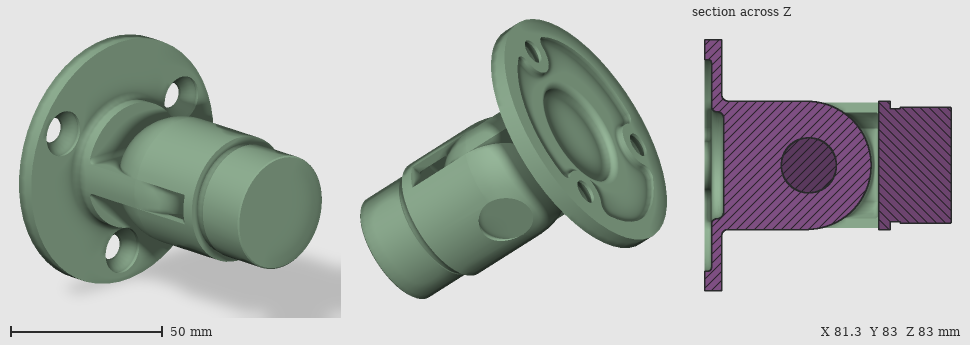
import cadquery as cq
import math


tube_radius = 21.25
tongue_thickness = 10.1
tongue_half = tongue_thickness / 2

flange_radius = 41.5
flange_thickness = 5.8
collar_end = 11.5
collar_fillet = 1.8
tongue_fillet = 1.75
tongue_ball_x = 33.8

screw_circle_radius = 31.0
screw_angles = (30, 150, 270)
screw_hole_radius = 4.2
countersink_start = 1.1
countersink_widening = 3.4
countersink_end = countersink_start + countersink_widening

recess_radius = 34.8
recess_depth = 2.2
recess_boss_radius = 8.0
recess_corner_radius = 3.3
recess_floor_fillet = 1.0

dish_radius = 17.5
dish_round = 2.0
dish_floor = recess_depth + 2 * dish_round

pivot_x = 34.4
pin_radius = 9.0
pin_bottom = -math.sqrt(tube_radius**2 - pin_radius**2)
pin_top = tongue_half

slot_end = 57.3
body_end = 61.25
neck_end = 64.3
neck_radius = 18.7
spigot_radius = 19.2
spigot_end = 81.3
spigot_chamfer = 0.4

cavity_pin_wall = 2.5
cavity_start = pivot_x + pin_radius + cavity_pin_wall
cavity_radius = 18.2
cavity_height = 27.05
cavity_fillet = 1.0


def rod(radius, start, end):
    """Cylinder along X from start to end."""
    return cq.Workplane("YZ", origin=(start, 0, 0)).circle(radius).extrude(end - start)


def slab(start, end, height):
    """Plate along X from start to end, centred in Z and wider than the tube."""
    width = 2 * flange_radius
    plate = cq.Workplane("XY", origin=(start, 0, 0))
    return plate.box(end - start, width, height, centered=(False, True, True))


def ball(centre_x):
    """Sphere of the tube radius centred on the main axis."""
    return cq.Workplane("XY", origin=(centre_x, 0, 0)).sphere(tube_radius)


def turned(profile):
    """Revolve a closed XY profile about the main axis."""
    return profile.revolve(360, (0, 0, 0), (1, 0, 0))


def plate_and_collar():
    """Flange disc and collar, with a fillet where they meet."""
    fillet_end = flange_thickness + collar_fillet
    profile = (
        cq.Workplane("XY")
        .lineTo(0, flange_radius)
        .lineTo(flange_thickness, flange_radius)
        .lineTo(flange_thickness, tube_radius + collar_fillet)
        .radiusArc((fillet_end, tube_radius), -collar_fillet)
        .lineTo(collar_end, tube_radius)
        .lineTo(collar_end, 0)
        .close()
    )
    return turned(profile)


def tongue():
    """Flat tongue with a ball-shaped end and flared root fillets at the collar."""
    root_end = collar_end + tongue_fillet
    fillet_top = tongue_half + tongue_fillet
    stem = rod(tube_radius, collar_end, tongue_ball_x)
    nose = ball(tongue_ball_x).cut(rod(flange_radius, 0, tongue_ball_x))
    blade = stem.union(nose).intersect(slab(collar_end, spigot_end, tongue_thickness))
    flare = (
        cq.Workplane("XZ")
        .moveTo(collar_end, -fillet_top)
        .radiusArc((root_end, -tongue_half), tongue_fillet)
        .lineTo(root_end, tongue_half)
        .radiusArc((collar_end, fillet_top), tongue_fillet)
        .close()
        .extrude(tube_radius, both=True)
    )
    return blade.union(flare.intersect(stem))


def screw_positions():
    """Screw hole centres as (Y, Z) pairs."""
    angles = [math.radians(angle) for angle in screw_angles]
    return [(screw_circle_radius * math.cos(a), screw_circle_radius * math.sin(a)) for a in angles]


def screw_hole():
    """Screw hole on the main axis, with its countersink open to +X."""
    head_radius = screw_hole_radius + countersink_widening
    profile = (
        cq.Workplane("XY")
        .lineTo(0, screw_hole_radius)
        .lineTo(countersink_start, screw_hole_radius)
        .lineTo(countersink_end, head_radius)
        .lineTo(flange_thickness, head_radius)
        .lineTo(flange_thickness, 0)
        .close()
    )
    return turned(profile)


def back_recess():
    """Shallow recess in the flange back that runs around a boss at each screw hole."""
    bosses = cq.Workplane("YZ").pushPoints(screw_positions()).circle(recess_boss_radius).extrude(recess_depth)
    recess = rod(recess_radius, 0, recess_depth).cut(bosses)
    recess = recess.edges("|X").fillet(recess_corner_radius)
    return recess.faces(">X").edges().fillet(recess_floor_fillet)


def back_dish():
    """Round dish in the recess floor, with an S-shaped wall."""
    profile = (
        cq.Workplane("XY")
        .moveTo(recess_depth, 0)
        .lineTo(recess_depth, dish_radius + dish_round)
        .radiusArc((recess_depth + dish_round, dish_radius), -dish_round)
        .radiusArc((dish_floor, dish_radius - dish_round), dish_round)
        .lineTo(dish_floor, 0)
        .close()
    )
    return turned(profile)


def pin_cylinder(bottom):
    """Cylinder on the pivot axis from the given level to the top of the tongue."""
    return cq.Workplane("XY", origin=(pivot_x, 0, bottom)).circle(pin_radius).extrude(pin_top - bottom)


def make_flange():
    flange = plate_and_collar().union(tongue())
    flange = flange.cut(back_recess()).cut(back_dish())
    for y, z in screw_positions():
        flange = flange.cut(screw_hole().translate((0, y, z)))
    return flange.cut(pin_cylinder(-tube_radius))


def body_cavity():
    """Closed cavity beyond the pin, flat above and below, with a rounded end."""
    cavity = rod(cavity_radius, cavity_start, slot_end)
    cavity = cavity.intersect(slab(cavity_start, slot_end, cavity_height))
    return cavity.faces(">X").edges().fillet(cavity_fillet)


def make_joint_body():
    rounded_end = ball(pivot_x).intersect(rod(tube_radius, 0, pivot_x))
    barrel = rod(tube_radius, pivot_x, body_end)
    neck = rod(neck_radius, body_end, neck_end)
    spigot = rod(spigot_radius, neck_end, spigot_end).faces(">X").chamfer(spigot_chamfer)
    body = rounded_end.union(barrel).union(neck).union(spigot)
    body = body.cut(slab(0, slot_end, tongue_thickness)).cut(body_cavity())
    return body.cut(pin_cylinder(-tube_radius))


def make_pivot_pin():
    return pin_cylinder(pin_bottom)


flange = make_flange()
joint_body = make_joint_body()
pivot_pin = make_pivot_pin()

result = cq.Compound.makeCompound([flange.solids().val(), joint_body.solids().val(), pivot_pin.val()])